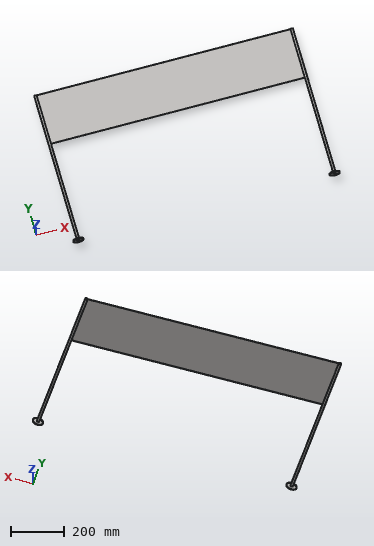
import cadquery as cq

overall_width = 1035.0
overall_length = 600.0

foot_diameter = 40.0
foot_thickness = 3.0
post_diameter = 10.0
post_length = overall_length - foot_thickness
post_spacing = overall_width - foot_diameter

panel_height = 201.0
panel_thickness = 3.0

foot_face_y = -overall_length / 2
post_start_y = foot_face_y + foot_thickness
post_top_y = overall_length / 2


def rod_along_y(diameter, start_y, length, x):
    """Solid cylinder running in +Y from start_y, with its axis at x and Z = 0."""
    plane = cq.Plane(origin=(x, start_y, 0), xDir=(1, 0, 0), normal=(0, 1, 0))
    return cq.Workplane(plane).circle(diameter / 2).extrude(length)


def post_with_foot(x):
    """Round post standing on a thin round foot."""
    foot = rod_along_y(foot_diameter, foot_face_y, foot_thickness, x)
    post = rod_along_y(post_diameter, post_start_y, post_length, x)
    return foot.union(post)


def sign_panel():
    """Flat plate whose top edge is level with the post tops."""
    center_y = post_top_y - panel_height / 2
    return cq.Workplane("XY").center(0, center_y).box(post_spacing, panel_height, panel_thickness)


result = sign_panel()
for side in (-1, 1):
    result = result.union(post_with_foot(side * post_spacing / 2))